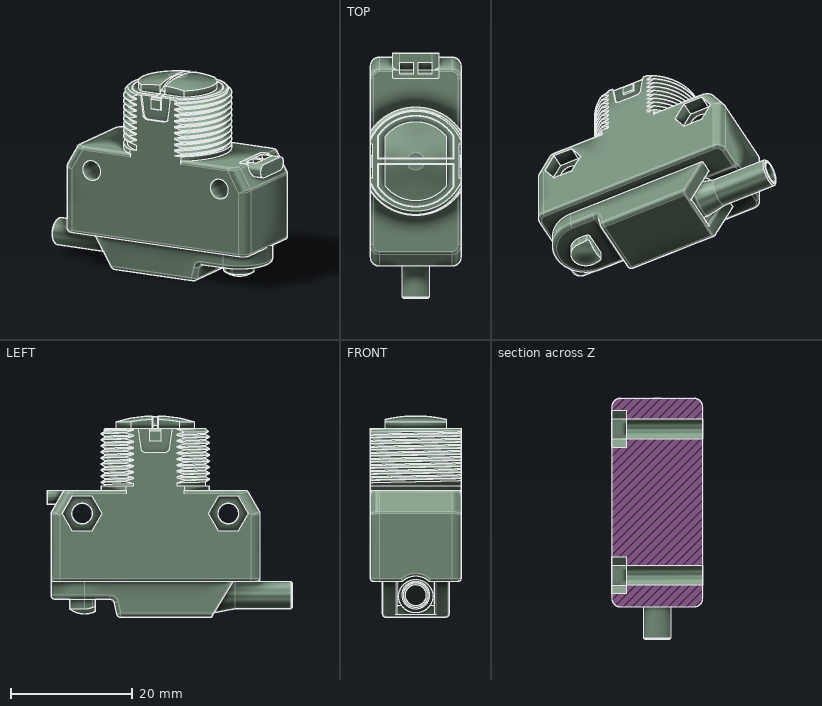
import cadquery as cq
import math


WIDTH = 15.0
HALF_WIDTH = WIDTH / 2
HOUSING_FRONT = -17.3
HOUSING_REAR = 17.17
HOUSING_DEPTH = 15.0
SHOULDER_RUN = 2.1
SHOULDER_ANGLE = 60.0
CORNER_RADIUS = 1.5
RIM_RADIUS = 0.5
RIDGE_RADIUS = 0.6

HOLE_SPACING = 24.1
HOLE_DROP = 3.8
HOLE_DIAMETER = 3.35
NUT_ACROSS_FLATS = 5.7
NUT_DEPTH = 2.4

THREAD_RADIUS = 8.93
THREAD_PITCH = 1.0
THREAD_DEPTH = 0.61
THREAD_START = 1.1
THREAD_FOOT_WIDTH = 0.94
THREAD_CREST_WIDTH = 0.1
THREAD_EMBED = 0.1
FLANGE_HEIGHT = 0.75
COLLAR_HEIGHT = 10.25
COLLAR_CHAMFER = 0.7
FLAT_HALF_LENGTH = 4.75

TONGUE_TOP_HALF = 2.8
TONGUE_BOTTOM_HALF = 2.25
TONGUE_HEIGHT = 4.0
TONGUE_DEPTH = 0.4
TONGUE_RADIUS = 0.8
CATCH_WIDTH = 1.85
CATCH_TOP_DROP = 0.15
CATCH_HEIGHT = 1.95
CATCH_DEPTH = 0.3
CATCH_SLOPE = 0.3

BUTTON_RADIUS = 6.5
BUTTON_HALF_WIDTH = 5.1
BUTTON_RIM = 1.07
BUTTON_CROWN = 2.02
CROWN_RADIUS = 1.45
BAR_WIDTH = 0.8
BAR_CROWN = 1.92
BAR_END = 0.5
SEAM = 0.1
SEAM_DEPTH = 0.3
SEAM_RADIUS = 7.55
SEAM_HALF_WIDTH = 6.28

CLIP_WIDTH = 7.7
CLIP_HEIGHT = 2.3
CLIP_REAR = 17.81
CLIP_FRONT = 13.65
CLIP_RISE = 0.03
CLIP_CORNER = 0.3
WINDOW_INNER = 0.38
WINDOW_OUTER = 2.65
WINDOW_REAR = 16.25
WINDOW_FLOOR = 15.0
WINDOW_FRONT = 14.36

BASE_HALF_WIDTH = 5.53
BASE_STEP_Z = -17.95
BASE_BOTTOM_Z = -20.93
BASE_WALL_TOP = 6.9
BASE_WALL_BOTTOM = 6.25
BASE_FRONT_TOP = -12.85
BASE_FRONT_BOTTOM = -9.25
BASE_RADIUS = 0.7
MOUTH_HALF_WIDTH = 3.1
MOUTH_LIP = 0.5
MOUTH_BACK = -9.0
MOUTH_WALL_HEIGHT = 1.45
MOUTH_EDGE_RADIUS = 0.2

STUD_RADIUS = 2.45
STUD_FLAT_Y = 9.85
STUD_CORNER = 0.5
STUD_BOTTOM_Z = -20.38
STUD_DOME_RADIUS = 4.0

CABLE_Z = -17.25
CABLE_RADIUS = 2.28
CABLE_END = -22.6
CABLE_CHAMFER = 0.25
BORE_RADIUS = 1.72
FLARE_FRONT = -13.15
FLARE_BACK = -9.9
FLARE_RADIUS = 2.9
NOTCH_RADIUS = 3.15
NOTCH_ROUND = 0.45

OVERLAP = 1.0
MARGIN = 0.1

SHOULDER_DROP = SHOULDER_RUN * math.tan(math.radians(SHOULDER_ANGLE))
FRONT_SLOPE = (BASE_FRONT_TOP - BASE_FRONT_BOTTOM) / (-HOUSING_DEPTH - BASE_BOTTOM_Z)
BASE_CENTER_Y = HOUSING_REAR - BASE_HALF_WIDTH


def side_profile(points, half_width):
    """Extrude a closed (y, z) outline symmetrically about the plane X = 0."""
    return cq.Workplane("YZ").polyline(points).close().extrude(half_width, both=True)


def box(x_range, y_range, z_range):
    """Axis-aligned block from pairs of limits."""
    limits = (x_range, y_range, z_range)
    sizes = [high - low for low, high in limits]
    corner = cq.Vector(*[low for low, high in limits])
    return cq.Workplane(obj=cq.Solid.makeBox(*sizes, corner))


def rod(radius, y_front, y_back):
    """Cylinder along Y on the cable axis."""
    center = cq.Vector(0, y_front, CABLE_Z)
    return cq.Workplane(obj=cq.Solid.makeCylinder(radius, y_back - y_front, center, cq.Vector(0, 1, 0)))


def space_before_mouth():
    """Everything in front of the mouth's back wall, which runs parallel to the sloped front of the base."""
    knee_z = BASE_BOTTOM_Z + MOUTH_LIP + MOUTH_WALL_HEIGHT
    far_y = CABLE_END - OVERLAP
    return side_profile([
        (far_y, 0),
        (far_y, BASE_BOTTOM_Z + MOUTH_LIP),
        (MOUTH_BACK, BASE_BOTTOM_Z + MOUTH_LIP),
        (MOUTH_BACK, knee_z),
        (MOUTH_BACK - FRONT_SLOPE * knee_z, 0),
    ], HALF_WIDTH)


def make_housing():
    outline = [
        (HOUSING_FRONT, -HOUSING_DEPTH),
        (HOUSING_REAR, -HOUSING_DEPTH),
        (HOUSING_REAR, -SHOULDER_DROP),
        (HOUSING_REAR - SHOULDER_RUN, 0),
        (HOUSING_FRONT + SHOULDER_RUN, 0),
        (HOUSING_FRONT, -SHOULDER_DROP),
    ]
    body = side_profile(outline, HALF_WIDTH)
    ridge_zone = cq.selectors.BoxSelector(
        (-WIDTH, 2 * HOUSING_FRONT, -SHOULDER_DROP - MARGIN),
        (WIDTH, 2 * HOUSING_REAR, -SHOULDER_DROP + MARGIN),
    )
    body = body.edges(ridge_zone).edges("|X").fillet(RIDGE_RADIUS)
    body = body.edges("#X").edges("not |Y").fillet(CORNER_RADIUS)
    body = body.faces(">Z").edges().fillet(RIM_RADIUS)
    notch = rod(NOTCH_RADIUS, HOUSING_FRONT - OVERLAP, MOUTH_BACK).intersect(space_before_mouth())
    body = body.cut(notch)
    body = body.faces("<Z").edges().fillet(RIM_RADIUS)
    notch_edge = cq.selectors.BoxSelector(
        (-NOTCH_RADIUS, HOUSING_FRONT - MARGIN, -HOUSING_DEPTH + RIM_RADIUS / 2),
        (NOTCH_RADIUS, HOUSING_FRONT + MARGIN, 0),
    )
    return body.edges(notch_edge).edges("%CIRCLE").fillet(NOTCH_ROUND)


def cut_mounting_holes(body):
    centers = [(-HOLE_SPACING / 2, -HOLE_DROP), (HOLE_SPACING / 2, -HOLE_DROP)]
    holes = cq.Workplane("YZ").pushPoints(centers).circle(HOLE_DIAMETER / 2).extrude(HALF_WIDTH, both=True)
    across_corners = NUT_ACROSS_FLATS / math.cos(math.pi / 6)
    nuts = (
        cq.Workplane("YZ", origin=(-HALF_WIDTH, 0, 0))
        .pushPoints(centers)
        .polygon(6, across_corners)
        .extrude(NUT_DEPTH)
    )
    return body.cut(holes).cut(nuts)


def make_thread():
    """Right-handed helical ridge from just above the flange to beyond the collar top."""
    root_radius = THREAD_RADIUS - THREAD_DEPTH
    turns = math.ceil((COLLAR_HEIGHT - THREAD_START) / THREAD_PITCH)
    helix = cq.Wire.makeHelix(THREAD_PITCH, turns * THREAD_PITCH, root_radius, cq.Vector(0, 0, THREAD_START))
    half_foot = THREAD_FOOT_WIDTH / 2
    half_crest = THREAD_CREST_WIDTH / 2
    return (
        cq.Workplane("XZ", origin=(root_radius, 0, THREAD_START))
        .polyline([
            (-THREAD_EMBED, -half_foot),
            (-THREAD_EMBED, half_foot),
            (THREAD_DEPTH, half_crest),
            (THREAD_DEPTH, -half_crest),
        ])
        .close()
        .sweep(cq.Workplane(obj=helix), isFrenet=True)
    )


def cut_tongue(collar, side):
    """Tapered recess in one collar flat (side = -1 or 1), keeping a sloped catch."""
    top = COLLAR_HEIGHT
    recess = (
        cq.Workplane("YZ", origin=(side * HALF_WIDTH, 0, 0))
        .polyline([
            (-TONGUE_TOP_HALF, top),
            (TONGUE_TOP_HALF, top),
            (TONGUE_BOTTOM_HALF, top - TONGUE_HEIGHT),
            (-TONGUE_BOTTOM_HALF, top - TONGUE_HEIGHT),
        ])
        .close()
        .extrude(-side * TONGUE_DEPTH)
        .faces("<Z")
        .edges("|X")
        .fillet(TONGUE_RADIUS)
    )
    floor_x = side * (HALF_WIDTH - TONGUE_DEPTH)
    face_x = floor_x + side * CATCH_DEPTH
    catch_top = top - CATCH_TOP_DROP
    catch = (
        cq.Workplane("XZ")
        .polyline([
            (floor_x, catch_top),
            (face_x, catch_top - CATCH_SLOPE),
            (face_x, catch_top - CATCH_HEIGHT),
            (floor_x, catch_top - CATCH_HEIGHT),
        ])
        .close()
        .extrude(CATCH_WIDTH / 2, both=True)
    )
    return collar.cut(recess).union(catch)


def truncated_disc(radius, half_width, z_bottom, height):
    disc = cq.Workplane("XY", origin=(0, 0, z_bottom)).circle(radius).extrude(height)
    return disc.intersect(box((-half_width, half_width), (-radius, radius), (z_bottom, z_bottom + height)))


def half_plates(radius, half_width, inner_y, z_bottom, height):
    """Two D-shaped plates left after removing the strip |y| < inner_y."""
    strip = box((-radius, radius), (-inner_y, inner_y), (z_bottom, z_bottom + height))
    return truncated_disc(radius, half_width, z_bottom, height).cut(strip)


def cut_seams(collar):
    """Fine D-shaped gaps around the two button halves."""
    half_bar = BAR_WIDTH / 2
    bottom = COLLAR_HEIGHT - SEAM_DEPTH
    outer = half_plates(SEAM_RADIUS, SEAM_HALF_WIDTH, half_bar, bottom, SEAM_DEPTH)
    inner = half_plates(SEAM_RADIUS - SEAM, SEAM_HALF_WIDTH - SEAM, half_bar + SEAM, bottom, SEAM_DEPTH)
    return collar.cut(outer.cut(inner))


def make_collar_envelope():
    """Space open to the collar: between the two flats and under the top chamfer."""
    clear_radius = THREAD_RADIUS + OVERLAP
    return (
        cq.Workplane("XY")
        .circle(clear_radius)
        .extrude(COLLAR_HEIGHT)
        .faces(">Z")
        .chamfer(COLLAR_CHAMFER + OVERLAP)
        .intersect(box((-HALF_WIDTH, HALF_WIDTH), (-clear_radius, clear_radius), (0, COLLAR_HEIGHT)))
    )


def make_collar():
    core = cq.Workplane("XY").circle(THREAD_RADIUS - THREAD_DEPTH).extrude(COLLAR_HEIGHT + OVERLAP)
    flange = cq.Workplane("XY").circle(THREAD_RADIUS).extrude(FLANGE_HEIGHT)
    collar = core.union(flange).union(make_thread()).intersect(make_collar_envelope())
    for side in (-1, 1):
        collar = cut_tongue(collar, side)
    return cut_seams(collar)


def make_collar_root():
    """Square-ended block that carries the collar flats down into the housing sides."""
    return box((-HALF_WIDTH, HALF_WIDTH), (-FLAT_HALF_LENGTH, FLAT_HALF_LENGTH), (-OVERLAP, 0))


def make_button():
    dome_rise = BUTTON_CROWN - BUTTON_RIM
    rim_to_center = (BUTTON_RADIUS**2 - CROWN_RADIUS**2 - dome_rise**2) / (2 * dome_rise)
    dome_radius = math.hypot(BUTTON_RADIUS, rim_to_center)
    mid_radius = (BUTTON_RADIUS + CROWN_RADIUS) / 2

    def dome_height(radius):
        return BUTTON_RIM - rim_to_center + math.sqrt(dome_radius**2 - radius**2)

    dome = (
        cq.Workplane("XZ", origin=(0, 0, COLLAR_HEIGHT))
        .moveTo(0, 0)
        .lineTo(BUTTON_RADIUS, 0)
        .lineTo(BUTTON_RADIUS, BUTTON_RIM)
        .threePointArc((mid_radius, dome_height(mid_radius)), (CROWN_RADIUS, dome_height(CROWN_RADIUS)))
        .lineTo(0, dome_height(CROWN_RADIUS))
        .close()
        .revolve(360, (0, 0, 0), (0, 1, 0))
    )
    halves = dome.intersect(
        half_plates(BUTTON_RADIUS, BUTTON_HALF_WIDTH, BAR_WIDTH / 2 + SEAM, COLLAR_HEIGHT, BUTTON_CROWN)
    )
    bar = (
        cq.Workplane("XZ", origin=(0, 0, COLLAR_HEIGHT))
        .moveTo(-BUTTON_HALF_WIDTH, 0)
        .lineTo(BUTTON_HALF_WIDTH, 0)
        .lineTo(BUTTON_HALF_WIDTH, BAR_END)
        .threePointArc((0, BAR_CROWN), (-BUTTON_HALF_WIDTH, BAR_END))
        .close()
        .extrude(BAR_WIDTH / 2, both=True)
    )
    return halves, bar


def make_clip():
    length = CLIP_REAR - CLIP_FRONT
    clip = (
        cq.Workplane("XZ", origin=(0, CLIP_REAR, CLIP_RISE - CLIP_HEIGHT / 2))
        .slot2D(CLIP_WIDTH, CLIP_HEIGHT)
        .extrude(length)
    )
    half = CLIP_WIDTH / 2
    pad = box((-half, half), (CLIP_FRONT, HOUSING_REAR - SHOULDER_RUN), (-RIM_RADIUS, CLIP_RISE))
    return clip.union(pad.edges("|Z and <Y").fillet(CLIP_CORNER))


def make_clip_window(side):
    ramp_drop = (WINDOW_REAR - WINDOW_FLOOR) * math.tan(math.radians(SHOULDER_ANGLE))
    return (
        cq.Workplane("YZ", origin=(side * WINDOW_INNER, 0, 0))
        .polyline([
            (WINDOW_REAR, CLIP_RISE),
            (WINDOW_FLOOR, -ramp_drop),
            (WINDOW_FRONT, CLIP_RISE),
        ])
        .close()
        .extrude(side * (WINDOW_OUTER - WINDOW_INNER))
    )


def make_base():
    top = -HOUSING_DEPTH + OVERLAP
    plan = (
        cq.Workplane("XY", origin=(0, 0, BASE_BOTTOM_Z))
        .moveTo(-BASE_HALF_WIDTH, HOUSING_FRONT)
        .lineTo(BASE_HALF_WIDTH, HOUSING_FRONT)
        .lineTo(BASE_HALF_WIDTH, BASE_CENTER_Y)
        .threePointArc((0, HOUSING_REAR), (-BASE_HALF_WIDTH, BASE_CENTER_Y))
        .close()
        .extrude(top - BASE_BOTTOM_Z)
    )
    outline = [
        (BASE_FRONT_TOP + FRONT_SLOPE * OVERLAP, top),
        (HOUSING_REAR, top),
        (HOUSING_REAR, BASE_STEP_Z),
        (BASE_WALL_TOP, BASE_STEP_Z),
        (BASE_WALL_BOTTOM, BASE_BOTTOM_Z),
        (BASE_FRONT_BOTTOM, BASE_BOTTOM_Z),
    ]
    base = plan.intersect(side_profile(outline, BASE_HALF_WIDTH))
    lower = cq.selectors.BoxSelector(
        (-WIDTH, BASE_FRONT_BOTTOM + MARGIN, BASE_BOTTOM_Z - MARGIN),
        (WIDTH, HOUSING_REAR + MARGIN, BASE_STEP_Z + MARGIN),
    )
    base = base.edges(lower).fillet(BASE_RADIUS)
    mouth = box(
        (-MOUTH_HALF_WIDTH, MOUTH_HALF_WIDTH),
        (HOUSING_FRONT, MOUTH_BACK),
        (BASE_BOTTOM_Z, top),
    )
    base = base.cut(mouth.intersect(space_before_mouth()))
    front_slope = cq.Vector(0, FRONT_SLOPE, 1)
    return base.edges(cq.selectors.ParallelDirSelector(front_slope)).fillet(MOUTH_EDGE_RADIUS)


def make_stud():
    """Stud with a round rear, a flat front with rounded corners, and a domed end."""
    plan = (
        cq.Workplane("XY", origin=(0, 0, BASE_BOTTOM_Z))
        .moveTo(-STUD_RADIUS, STUD_FLAT_Y)
        .lineTo(STUD_RADIUS, STUD_FLAT_Y)
        .lineTo(STUD_RADIUS, BASE_CENTER_Y)
        .threePointArc((0, BASE_CENTER_Y + STUD_RADIUS), (-STUD_RADIUS, BASE_CENTER_Y))
        .close()
        .extrude(BASE_STEP_Z + OVERLAP - BASE_BOTTOM_Z)
        .edges("|Z and <Y")
        .fillet(STUD_CORNER)
    )
    dome_center = (0, BASE_CENTER_Y, STUD_BOTTOM_Z + STUD_DOME_RADIUS)
    dome = cq.Workplane("XY").sphere(STUD_DOME_RADIUS).translate(dome_center)
    return plan.intersect(dome)


def make_cable():
    anchor_y = MOUTH_BACK + OVERLAP
    sleeve = (
        cq.Workplane("XY", origin=(0, 0, CABLE_Z))
        .polyline([
            (0, CABLE_END),
            (CABLE_RADIUS - CABLE_CHAMFER, CABLE_END),
            (CABLE_RADIUS, CABLE_END + CABLE_CHAMFER),
            (CABLE_RADIUS, FLARE_FRONT),
            (FLARE_RADIUS, FLARE_BACK),
            (FLARE_RADIUS, anchor_y),
            (0, anchor_y),
        ])
        .close()
        .revolve(360, (0, 0, 0), (0, 1, 0))
    )
    bore = rod(BORE_RADIUS, CABLE_END, MOUTH_BACK).intersect(space_before_mouth())
    return sleeve.cut(bore)


button_halves, button_bar = make_button()
result = make_housing().union(make_clip())
for window_side in (-1, 1):
    result = result.cut(make_clip_window(window_side))
result = cut_mounting_holes(result)
result = result.union(make_collar_root()).union(make_base()).union(make_stud()).union(make_cable())
result = result.union(make_collar())
result = result.union(button_halves).union(button_bar)